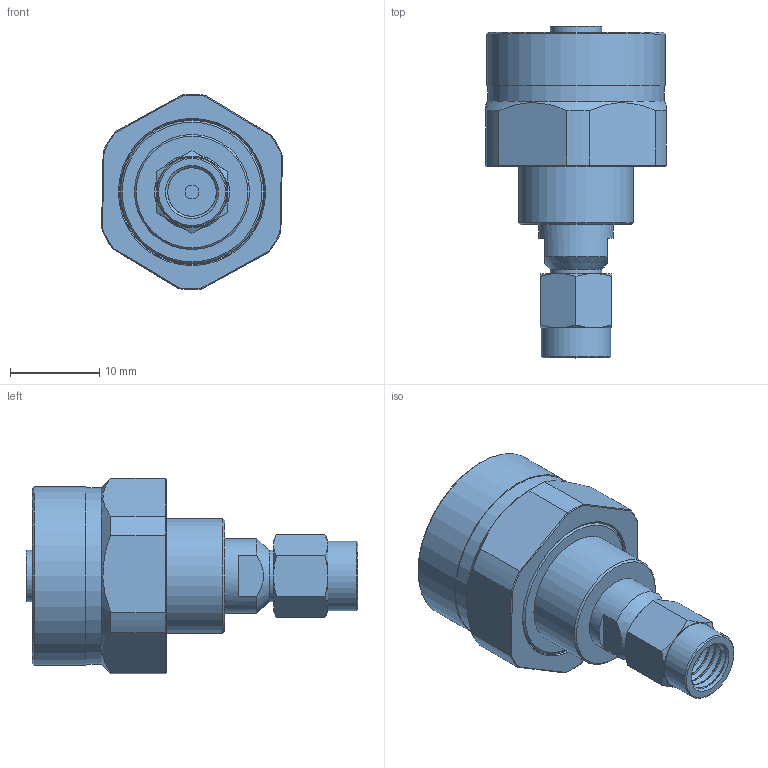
import cadquery as cq
import math

OVERALL_LENGTH = 37.2
HEX_HALF_ANGLE = 30

MOUTH_RADIUS = 3.9
MOUTH_CHAMFER = 0.15
SMALL_HEX_START = 3.37
SMALL_HEX_END = 9.46
SMALL_HEX_FLATS = 8.0
SMALL_HEX_FACE_RADIUS = 4.0
SMALL_HEX_CHAMFER_LENGTH = 0.33

BORE_RADIUS = 2.72
BORE_MOUTH_RADIUS = 2.97
BORE_DEPTH = 5.0
THREAD_PITCH = 0.92
THREAD_DEPTH = 0.35
THREAD_CREST = 0.15
THREAD_TURNS = 4
THREAD_START = 0.15
THREAD_START_ANGLE = 10
THREAD_OVERLAP = 0.05
PIN_RADIUS = 0.78
PIN_LENGTH = 2.3

NECK_RADIUS = 2.9
CONE_START = 9.93
CONE_END = 11.35
COLLAR_RADIUS = 4.2
COLLAR_FLAT_SPACING = 7.0
COLLAR_FLAT_END = 13.4

BODY_START = 14.95
BODY_RADIUS = 6.45
BODY_CHAMFER = 0.2

LARGE_HEX_START = 21.5
LARGE_HEX_END = 28.77
LARGE_HEX_CONE_START = 27.7
LARGE_HEX_FLATS = 20.1
LARGE_HEX_CORNER_RADIUS = 10.95
LARGE_HEX_EDGE_BREAK = 0.1
LARGE_HEX_TILT = 1.2
WAIST_RADIUS = 9.88
SHELL_START = 30.5
SHELL_RADIUS = 10.0
SHELL_END = 36.5
SHELL_CHAMFER = 0.2
END_BOSS_RADIUS = 2.9

GAP_INNER_RADIUS = 8.03
GAP_OUTER_RADIUS = 8.13
GAP_DEPTH = 0.5
GAP_INNER_CHAMFER = 0.2
GAP_OUTER_CHAMFER = 0.12


def revolve_profile(points):
    """Turn a closed (radius, y) profile about the Y axis."""
    return cq.Workplane("XY").polyline(points).close().revolve(360, (0, 0, 0), (0, 1, 0))


def hex_prism(across_flats, start, end, tilt):
    """Hexagonal prism along Y with two corners near +Z and -Z, tilted about Y by degrees."""
    corner_diameter = across_flats / math.cos(math.radians(HEX_HALF_ANGLE))
    prism = cq.Workplane("XZ", origin=(0, start, 0)).polygon(6, corner_diameter).extrude(start - end)
    return prism.rotate((0, 0, 0), (0, 1, 0), HEX_HALF_ANGLE + tilt)


def small_nut():
    corner_radius = SMALL_HEX_FLATS / 2 / math.cos(math.radians(HEX_HALF_ANGLE))
    envelope = revolve_profile([
        (0, SMALL_HEX_START),
        (SMALL_HEX_FACE_RADIUS, SMALL_HEX_START),
        (corner_radius, SMALL_HEX_START + SMALL_HEX_CHAMFER_LENGTH),
        (corner_radius, SMALL_HEX_END - SMALL_HEX_CHAMFER_LENGTH),
        (SMALL_HEX_FACE_RADIUS, SMALL_HEX_END),
        (0, SMALL_HEX_END),
    ])
    hexagon = hex_prism(SMALL_HEX_FLATS, SMALL_HEX_START, SMALL_HEX_END, 0).intersect(envelope)
    sleeve = revolve_profile([
        (0, 0),
        (MOUTH_RADIUS - MOUTH_CHAMFER, 0),
        (MOUTH_RADIUS, MOUTH_CHAMFER),
        (MOUTH_RADIUS, SMALL_HEX_START),
        (0, SMALL_HEX_START),
    ])
    return hexagon.union(sleeve)


def collar():
    turned = revolve_profile([
        (0, SMALL_HEX_END),
        (NECK_RADIUS, SMALL_HEX_END),
        (NECK_RADIUS, CONE_START),
        (COLLAR_RADIUS, CONE_END),
        (COLLAR_RADIUS, BODY_START),
        (0, BODY_START),
    ])
    flat_length = COLLAR_FLAT_END - SMALL_HEX_END
    for side in (-1, 1):
        cutter = cq.Workplane("XY").box(COLLAR_RADIUS, flat_length, 2 * COLLAR_RADIUS).translate((
            side * (COLLAR_FLAT_SPACING + COLLAR_RADIUS) / 2,
            SMALL_HEX_END + flat_length / 2,
            0,
        ))
        turned = turned.cut(cutter)
    return turned


def body():
    return revolve_profile([
        (0, BODY_START),
        (BODY_RADIUS - BODY_CHAMFER, BODY_START),
        (BODY_RADIUS, BODY_START + BODY_CHAMFER),
        (BODY_RADIUS, LARGE_HEX_START),
        (0, LARGE_HEX_START),
    ])


def large_nut():
    envelope = revolve_profile([
        (0, LARGE_HEX_START),
        (LARGE_HEX_CORNER_RADIUS, LARGE_HEX_START),
        (LARGE_HEX_CORNER_RADIUS, LARGE_HEX_CONE_START),
        (WAIST_RADIUS, LARGE_HEX_END),
        (0, LARGE_HEX_END),
    ])
    hexagon = hex_prism(LARGE_HEX_FLATS, LARGE_HEX_START, LARGE_HEX_END, LARGE_HEX_TILT)
    hexagon = hexagon.intersect(envelope).faces("<Y").chamfer(LARGE_HEX_EDGE_BREAK)
    shell = revolve_profile([
        (0, LARGE_HEX_END),
        (WAIST_RADIUS, LARGE_HEX_END),
        (WAIST_RADIUS, SHELL_START),
        (SHELL_RADIUS, SHELL_START),
        (SHELL_RADIUS, SHELL_END - SHELL_CHAMFER),
        (SHELL_RADIUS - SHELL_CHAMFER, SHELL_END),
        (END_BOSS_RADIUS, SHELL_END),
        (END_BOSS_RADIUS, OVERALL_LENGTH),
        (0, OVERALL_LENGTH),
    ])
    return hexagon.union(shell).cut(nut_gap())


def nut_gap():
    return revolve_profile([
        (GAP_INNER_RADIUS - GAP_INNER_CHAMFER, LARGE_HEX_START),
        (GAP_INNER_RADIUS, LARGE_HEX_START + GAP_INNER_CHAMFER),
        (GAP_INNER_RADIUS, LARGE_HEX_START + GAP_DEPTH),
        (GAP_OUTER_RADIUS, LARGE_HEX_START + GAP_DEPTH),
        (GAP_OUTER_RADIUS, LARGE_HEX_START + GAP_OUTER_CHAMFER),
        (GAP_OUTER_RADIUS + GAP_OUTER_CHAMFER, LARGE_HEX_START),
    ])


def thread_groove():
    """Right-hand helical V groove that starts at the chamfered mouth."""
    half_width = (THREAD_PITCH - THREAD_CREST) / 2
    first_center = THREAD_START + half_width
    base_half_width = half_width * (THREAD_DEPTH + THREAD_OVERLAP) / THREAD_DEPTH
    base_radius = BORE_RADIUS - THREAD_OVERLAP
    helix = cq.Wire.makeHelix(THREAD_PITCH, THREAD_PITCH * THREAD_TURNS, base_radius)
    groove = (
        cq.Workplane("XZ")
        .moveTo(base_radius, -base_half_width)
        .lineTo(BORE_RADIUS + THREAD_DEPTH, 0)
        .lineTo(base_radius, base_half_width)
        .close()
        .sweep(cq.Workplane(helix), isFrenet=True)
    )
    along_y = groove.rotate((0, 0, 0), (1, 0, 0), -90)
    return along_y.rotate((0, 0, 0), (0, 1, 0), -THREAD_START_ANGLE).translate((0, first_center, 0))


def bore():
    """Round socket with a chamfered mouth and the centre pin left standing."""
    return revolve_profile([
        (0, 0),
        (BORE_MOUTH_RADIUS, 0),
        (BORE_RADIUS, BORE_MOUTH_RADIUS - BORE_RADIUS),
        (BORE_RADIUS, BORE_DEPTH),
        (PIN_RADIUS, BORE_DEPTH),
        (PIN_RADIUS, BORE_DEPTH - PIN_LENGTH),
        (0, BORE_DEPTH - PIN_LENGTH),
    ])


result = small_nut().union(collar()).union(body()).union(large_nut()).cut(bore()).cut(thread_groove())